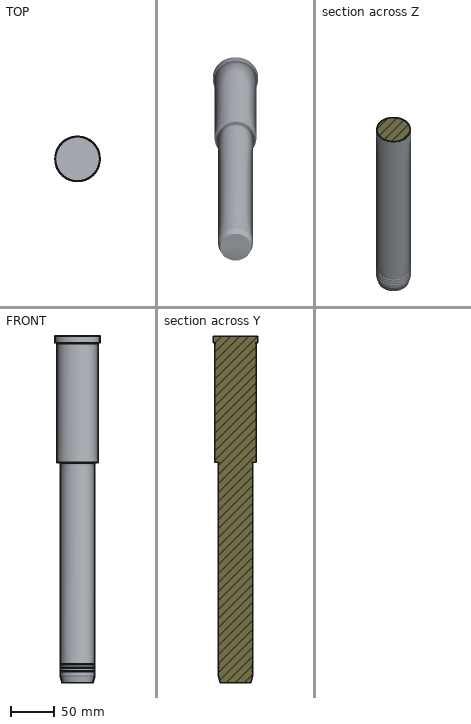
import cadquery as cq
import math

TOTAL_LENGTH = 400.0
HEAD_HEIGHT = 8.0
SHANK_LENGTH = 138.0
NOSE_LENGTH = 8.0

HEAD_DIAMETER = 52.0
SHANK_DIAMETER = 48.0
GUIDE_DIAMETER = 40.0

RELIEF_WIDTH = 1.0
RELIEF_DEPTH = 0.5

HEAD_CHAMFER = 0.5
SHANK_CHAMFER = 0.5
TIP_CHAMFER = 0.35

NOSE_ANGLE = 15.0

GROOVE_COUNT = 3
GROOVE_PITCH = 4.0
FIRST_GROOVE_HEIGHT = 13.5
GROOVE_RADIUS = 0.5

head_radius = HEAD_DIAMETER / 2
shank_radius = SHANK_DIAMETER / 2
guide_radius = GUIDE_DIAMETER / 2
head_bottom = TOTAL_LENGTH - HEAD_HEIGHT
shank_bottom = head_bottom - SHANK_LENGTH


def make_body():
    """Solid pillar, its half section on the -X side turned about the Z axis."""
    nose_cone_height = NOSE_LENGTH - TIP_CHAMFER
    nose_end_radius = guide_radius - nose_cone_height * math.tan(math.radians(NOSE_ANGLE))
    shank_relief_radius = shank_radius - RELIEF_DEPTH
    guide_relief_radius = guide_radius - RELIEF_DEPTH
    half_section = [
        (0, 0),
        (-(nose_end_radius - TIP_CHAMFER), 0),
        (-nose_end_radius, TIP_CHAMFER),
        (-guide_radius, NOSE_LENGTH),
        (-guide_radius, shank_bottom - RELIEF_WIDTH),
        (-guide_relief_radius, shank_bottom - RELIEF_WIDTH),
        (-guide_relief_radius, shank_bottom),
        (-(shank_radius - SHANK_CHAMFER), shank_bottom),
        (-shank_radius, shank_bottom + SHANK_CHAMFER),
        (-shank_radius, head_bottom - RELIEF_WIDTH),
        (-shank_relief_radius, head_bottom - RELIEF_WIDTH),
        (-shank_relief_radius, head_bottom),
        (-head_radius, head_bottom),
        (-head_radius, TOTAL_LENGTH - HEAD_CHAMFER),
        (-(head_radius - HEAD_CHAMFER), TOTAL_LENGTH),
        (0, TOTAL_LENGTH),
    ]
    outline = cq.Workplane("XZ").polyline(half_section).close()
    return outline.revolve(360, (0, 0, 0), (0, 1, 0))


def make_oil_groove(height):
    """Ring of round section centred on the guide surface at a height."""
    section = cq.Workplane("XZ").center(-guide_radius, height).circle(GROOVE_RADIUS)
    return section.revolve(360, (guide_radius, 0, 0), (guide_radius, 1, 0))


result = make_body()
for index in range(GROOVE_COUNT):
    groove_height = FIRST_GROOVE_HEIGHT + index * GROOVE_PITCH
    result = result.cut(make_oil_groove(groove_height))